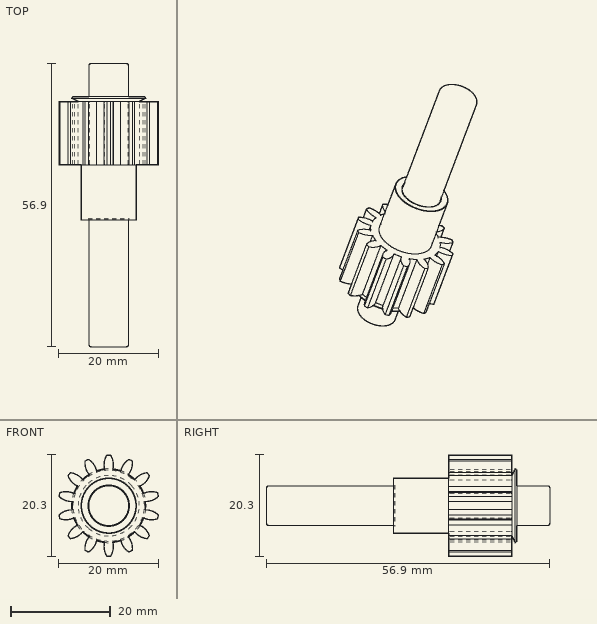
import cadquery as cq
import math

TOOTH_COUNT = 14
MODULE = 1.27
PITCH_RADIUS = MODULE * TOOTH_COUNT / 2
TIP_RADIUS = PITCH_RADIUS + MODULE
ROOT_RADIUS = PITCH_RADIUS - 1.25 * MODULE
GEAR_WIDTH = 12.7

TIP_THICKNESS = 0.78
WIDEST_THICKNESS = 1.86
WIDEST_HEIGHT = 8.63
ROOT_THICKNESS = 1.65
ROOT_OVERLAP = 0.5

TOTAL_LENGTH = 56.9
SHAFT_RADIUS = 8 / 2
END_FILLET = 0.5

COLLAR_RADIUS = 11.11 / 2
COLLAR_LENGTH = 11.1
COLLAR_BEVEL_WIDTH = 0.1
COLLAR_BEVEL_DEPTH = 0.05
RELIEF_RADIUS = 8.1 / 2
RELIEF_DEPTH = 0.3
RELIEF_CHAMFER = 0.1

FLANGE_RADIUS = 7.45
FLANGE_REAR_RADIUS = 7.15
FLANGE_FRONT_RADIUS = 6.1
FLANGE_THICKNESS = 1.0
FLANGE_RIM_SETBACK = 0.35

COLLAR_START = 25.45
GEAR_START = COLLAR_START + COLLAR_LENGTH
GEAR_END = GEAR_START + GEAR_WIDTH
FLANGE_END = GEAR_END + FLANGE_THICKNESS


def make_shaft():
    """Revolve the stepped shaft, collar, gear body and flange about Y."""
    relief_mouth_radius = RELIEF_RADIUS + RELIEF_CHAMFER
    profile = (
        cq.Workplane("XY")
        .moveTo(0, 0)
        .lineTo(SHAFT_RADIUS - END_FILLET, 0)
        .radiusArc((SHAFT_RADIUS, END_FILLET), -END_FILLET)
        .lineTo(SHAFT_RADIUS, COLLAR_START + RELIEF_DEPTH)
        .lineTo(RELIEF_RADIUS, COLLAR_START + RELIEF_DEPTH)
        .lineTo(RELIEF_RADIUS, COLLAR_START + RELIEF_CHAMFER)
        .lineTo(relief_mouth_radius, COLLAR_START)
        .lineTo(COLLAR_RADIUS - COLLAR_BEVEL_WIDTH, COLLAR_START)
        .lineTo(COLLAR_RADIUS, COLLAR_START + COLLAR_BEVEL_DEPTH)
        .lineTo(COLLAR_RADIUS, GEAR_START)
        .lineTo(ROOT_RADIUS, GEAR_START)
        .lineTo(ROOT_RADIUS, GEAR_END)
        .lineTo(FLANGE_FRONT_RADIUS, GEAR_END)
        .lineTo(FLANGE_RADIUS, FLANGE_END - FLANGE_RIM_SETBACK)
        .lineTo(FLANGE_REAR_RADIUS, FLANGE_END)
        .lineTo(SHAFT_RADIUS, FLANGE_END)
        .lineTo(SHAFT_RADIUS, TOTAL_LENGTH - END_FILLET)
        .radiusArc((SHAFT_RADIUS - END_FILLET, TOTAL_LENGTH), -END_FILLET)
        .lineTo(0, TOTAL_LENGTH)
        .close()
    )
    return profile.revolve(360, (0, 0, 0), (0, 1, 0))


def height_on_circle(radius, half_width):
    """Height above the axis of the point on a circle at the given half width."""
    return math.sqrt(radius**2 - half_width**2)


def make_tooth():
    """Extrude one barrel-shaped tooth pointing along +Z."""
    tip_half = TIP_THICKNESS / 2
    widest_half = WIDEST_THICKNESS / 2
    root_half = ROOT_THICKNESS / 2
    tip_height = height_on_circle(TIP_RADIUS, tip_half)
    root_height = height_on_circle(ROOT_RADIUS, root_half)
    foot_height = ROOT_RADIUS - ROOT_OVERLAP
    return (
        cq.Workplane("XZ", origin=(0, GEAR_END, 0))
        .moveTo(root_half, foot_height)
        .lineTo(root_half, root_height)
        .threePointArc((widest_half, WIDEST_HEIGHT), (tip_half, tip_height))
        .threePointArc((0, TIP_RADIUS), (-tip_half, tip_height))
        .threePointArc((-widest_half, WIDEST_HEIGHT), (-root_half, root_height))
        .lineTo(-root_half, foot_height)
        .close()
        .extrude(GEAR_WIDTH)
    )


def make_pinion():
    """Join the shaft with a full ring of teeth."""
    pinion = make_shaft()
    tooth = make_tooth()
    for index in range(TOOTH_COUNT):
        angle = index * 360 / TOOTH_COUNT
        pinion = pinion.union(tooth.rotate((0, 0, 0), (0, 1, 0), angle))
    return pinion


result = make_pinion()